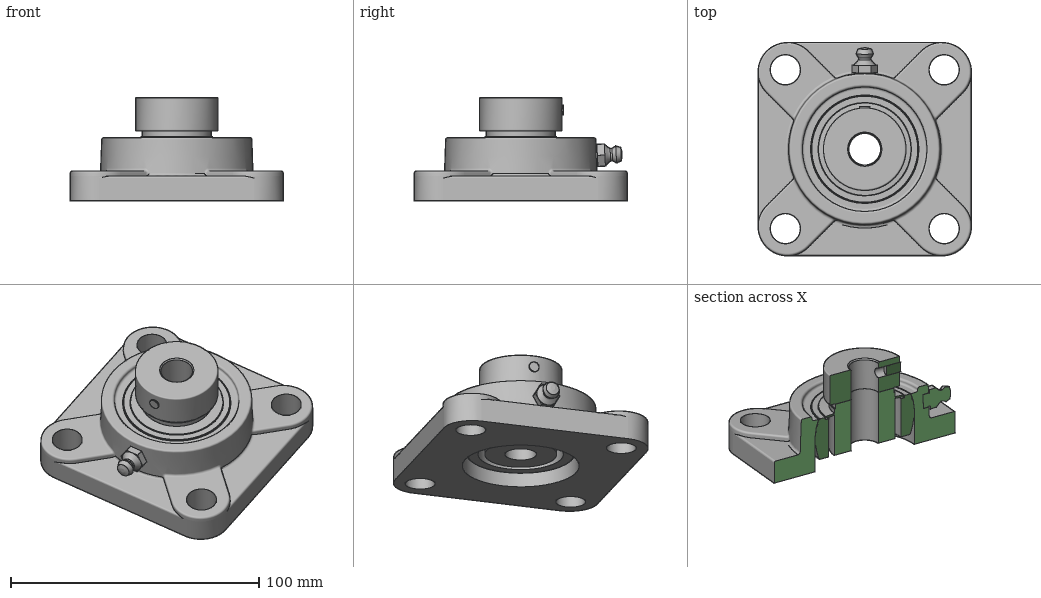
import cadquery as cq
import math

FLANGE_SIDE = 86.0
CORNER_RADIUS = 11.9
PLATE_TOP = 10.0
PAD_TOP = 12.0
EDGE_FILLET = 0.8
PAD_FILLET = 0.9
PAD_DRAFT = 3.0
BOLT_SPACING = 64.0
BOLT_HOLE_DIAMETER = 12.0
BOSS_TOP = 25.45
BOSS_BASE_RADIUS = 30.8
BOSS_TOP_RADIUS = 30.3
BOSS_FOOT_FILLET = 1.0
RECESS_RADIUS = 50.1 / 2
RECESS_DEPTH = 2.1
RECESS_FILLET = 0.95

BEARING_CENTRE = 14.2
SPHERE_RADIUS = 23.6
OUTER_RING_CHAMFER = 0.35
OUTER_RING_BORE_RADIUS = 17.2
FLINGER_RECESS_RADIUS = 37.6 / 2
FLINGER_RECESS_DEPTH = 1.0
FLINGER_RADIUS = 37.2 / 2
FLINGER_THICKNESS = 1.0
FLINGER_PROTRUSION = 0.35
FLINGER_RISE = 0.35
INNER_RING_RADIUS = 29.0 / 2
INNER_RING_SHOULDER_TOP = 26.0
NECK_RADIUS = 27.95 / 2
SHAFT_RADIUS = 6.4

COLLAR_RADIUS = 33.3 / 2
COLLAR_BOTTOM = 28.1
COLLAR_TOP = 41.6
COLLAR_FILLET = 0.5
BORE_CHAMFER = 0.5
SCREW_RADIUS = 2.1
SCREW_HEIGHT = 36.6
SCREW_OUTER_END = 17.2
SCREW_INNER_END = 10.3

NIPPLE_HEIGHT = 18.3
NIPPLE_TILT = 3.0
NIPPLE_SEAT = 30.9
HEX_SIDES = 6
HEX_ACROSS_FLATS = 9.0
HEX_LENGTH = 3.0
STEM_RADIUS = 3.0
STEM_LENGTH = 3.0
NIPPLE_NECK_RADIUS = 2.6
NIPPLE_HEAD_RADIUS = 3.5
NIPPLE_NOSE_RADIUS = 2.75
NIPPLE_TIP_RADIUS = 2.0 / 2
SHOULDER_END = 4.6
NECK_START = 5.25
NECK_END = 6.0
HEAD_HEIGHT = 7.6
NOSE_HEIGHT = 9.55
TIP_HEIGHT = 10.0

RING_FACE = BOSS_TOP - RECESS_DEPTH
RING_BOTTOM = 2 * BEARING_CENTRE - RING_FACE


def revolved(profile):
    """Solid of revolution about Z from (radius, height) points."""
    return cq.Workplane("XZ").polyline(profile).close().revolve(360, (0, 0, 0), (0, 1, 0))


def nipple_placed(body):
    """Move a body modelled along +Z from its seat to the tilted nipple axis on the +Y side."""
    return body.rotate((0, 0, 0), (1, 0, 0), NIPPLE_TILT - 90).translate((0, NIPPLE_SEAT, NIPPLE_HEIGHT))


def screw_cylinder(start, end):
    """Cylinder along Y at the set screw position."""
    return cq.Workplane("XZ", origin=(0, start, SCREW_HEIGHT)).circle(SCREW_RADIUS).extrude(start - end)


def make_pad(angle):
    """Raised pad along a diagonal, round at a flange corner and drafted above the plate."""
    end_reach = math.sqrt(2) * (FLANGE_SIDE / 2 - CORNER_RADIUS)
    length = end_reach + 2 * CORNER_RADIUS
    base = cq.Workplane("XY").center(end_reach / 2, 0).slot2D(length, 2 * CORNER_RADIUS).extrude(PLATE_TOP)
    raised_part = (
        cq.Workplane("XY", origin=(0, 0, PLATE_TOP))
        .center(end_reach / 2, 0)
        .slot2D(length, 2 * CORNER_RADIUS)
        .extrude(PAD_TOP - PLATE_TOP, taper=PAD_DRAFT)
        .faces(">Z")
        .edges()
        .fillet(PAD_FILLET)
    )
    pad = base.union(raised_part)
    return pad.rotate((0, 0, 0), (0, 0, 1), angle)


def make_housing():
    flange = (
        cq.Workplane("XY")
        .rect(FLANGE_SIDE, FLANGE_SIDE)
        .extrude(PLATE_TOP)
        .edges("|Z")
        .fillet(CORNER_RADIUS)
        .faces(">Z")
        .edges()
        .fillet(EDGE_FILLET)
    )
    for angle in (45, 135, 225, 315):
        flange = flange.union(make_pad(angle))

    boss = revolved(
        [(0, PLATE_TOP), (BOSS_BASE_RADIUS, PLATE_TOP), (BOSS_TOP_RADIUS, BOSS_TOP), (0, BOSS_TOP)]
    )
    boss = boss.faces(">Z").edges().fillet(EDGE_FILLET)
    housing = flange.union(boss)

    foot_zone = cq.selectors.BoxSelector(
        (-BOSS_BASE_RADIUS, -BOSS_BASE_RADIUS, PLATE_TOP - BOSS_FOOT_FILLET),
        (BOSS_BASE_RADIUS, BOSS_BASE_RADIUS, PAD_TOP + BOSS_FOOT_FILLET),
        boundingbox=False,
    )
    housing = housing.edges("%CIRCLE").edges(foot_zone).fillet(BOSS_FOOT_FILLET)

    bolt_holes = (
        cq.Workplane("XY")
        .rect(BOLT_SPACING, BOLT_SPACING, forConstruction=True)
        .vertices()
        .circle(BOLT_HOLE_DIAMETER / 2)
        .extrude(PAD_TOP)
    )
    housing = housing.cut(bolt_holes).cut(make_recess()).cut(make_bearing_seat())
    stem_hole = nipple_placed(cq.Workplane("XY").circle(STEM_RADIUS).extrude(-STEM_LENGTH))
    return housing.cut(stem_hole)


def make_recess():
    """Space of the round recess in the boss top, with a rounded rim and a rounded floor corner."""
    return (
        cq.Workplane("XZ")
        .moveTo(0, RING_FACE)
        .lineTo(RECESS_RADIUS - RECESS_FILLET, RING_FACE)
        .radiusArc((RECESS_RADIUS, RING_FACE + RECESS_FILLET), -RECESS_FILLET)
        .lineTo(RECESS_RADIUS, BOSS_TOP - RECESS_FILLET)
        .radiusArc((RECESS_RADIUS + RECESS_FILLET, BOSS_TOP), RECESS_FILLET)
        .lineTo(0, BOSS_TOP)
        .close()
        .revolve(360, (0, 0, 0), (0, 1, 0))
    )


def make_bearing_seat():
    """Space of the spherical seat, continued as a cylinder from the bearing centre to the base."""
    sphere = cq.Workplane("XY", origin=(0, 0, BEARING_CENTRE)).sphere(SPHERE_RADIUS)
    bore = cq.Workplane("XY").circle(SPHERE_RADIUS).extrude(RING_FACE)
    lower_bore = cq.Workplane("XY").circle(SPHERE_RADIUS).extrude(BEARING_CENTRE)
    return sphere.intersect(bore).union(lower_bore)


def make_outer_ring():
    half_width = RING_FACE - BEARING_CENTRE
    chamfer_half_width = half_width - OUTER_RING_CHAMFER
    face_radius = math.sqrt(SPHERE_RADIUS**2 - half_width**2) - OUTER_RING_CHAMFER
    chamfer_radius = math.sqrt(SPHERE_RADIUS**2 - chamfer_half_width**2)
    recess_floor = RING_FACE - FLINGER_RECESS_DEPTH
    return (
        cq.Workplane("XZ")
        .moveTo(OUTER_RING_BORE_RADIUS, RING_BOTTOM)
        .lineTo(face_radius, RING_BOTTOM)
        .lineTo(chamfer_radius, BEARING_CENTRE - chamfer_half_width)
        .threePointArc((SPHERE_RADIUS, BEARING_CENTRE), (chamfer_radius, BEARING_CENTRE + chamfer_half_width))
        .lineTo(face_radius, RING_FACE)
        .lineTo(FLINGER_RECESS_RADIUS, RING_FACE)
        .lineTo(FLINGER_RECESS_RADIUS, recess_floor)
        .lineTo(OUTER_RING_BORE_RADIUS, recess_floor)
        .close()
        .revolve(360, (0, 0, 0), (0, 1, 0))
    )


def make_flinger():
    """Slightly conical ring that closes the gap between the inner and outer rings."""
    rim_top = RING_FACE + FLINGER_PROTRUSION
    hub_top = rim_top + FLINGER_RISE
    return revolved(
        [
            (INNER_RING_RADIUS, hub_top - FLINGER_THICKNESS),
            (FLINGER_RADIUS, rim_top - FLINGER_THICKNESS),
            (FLINGER_RADIUS, rim_top),
            (INNER_RING_RADIUS, hub_top),
        ]
    )


def make_inner_ring():
    return revolved(
        [
            (SHAFT_RADIUS, RING_BOTTOM),
            (INNER_RING_RADIUS, RING_BOTTOM),
            (INNER_RING_RADIUS, INNER_RING_SHOULDER_TOP),
            (NECK_RADIUS, INNER_RING_SHOULDER_TOP),
            (NECK_RADIUS, COLLAR_BOTTOM),
            (SHAFT_RADIUS, COLLAR_BOTTOM),
        ]
    )


def make_collar():
    collar = (
        cq.Workplane("XY", origin=(0, 0, COLLAR_BOTTOM))
        .circle(COLLAR_RADIUS)
        .extrude(COLLAR_TOP - COLLAR_BOTTOM)
        .edges()
        .fillet(COLLAR_FILLET)
        .faces(">Z")
        .workplane()
        .hole(2 * SHAFT_RADIUS)
    )
    bore_rim = collar.faces(">Z").edges(cq.selectors.RadiusNthSelector(0))
    collar = bore_rim.chamfer(BORE_CHAMFER)
    return collar.cut(screw_cylinder(0, SCREW_OUTER_END))


def make_set_screw():
    return screw_cylinder(SCREW_INNER_END, SCREW_OUTER_END)


def make_grease_nipple():
    hexagon = cq.Workplane("XY").polygon(HEX_SIDES, HEX_ACROSS_FLATS, circumscribed=True).extrude(HEX_LENGTH)
    hexagon = hexagon.rotate((0, 0, 0), (0, 0, 1), 180 / HEX_SIDES)
    turned_part = revolved(
        [
            (0, -STEM_LENGTH),
            (STEM_RADIUS, -STEM_LENGTH),
            (STEM_RADIUS, 0),
            (HEX_ACROSS_FLATS / 2, 0),
            (HEX_ACROSS_FLATS / 2, HEX_LENGTH),
            (STEM_RADIUS, SHOULDER_END),
            (NIPPLE_NECK_RADIUS, NECK_START),
            (NIPPLE_NECK_RADIUS, NECK_END),
            (NIPPLE_HEAD_RADIUS, HEAD_HEIGHT),
            (NIPPLE_NOSE_RADIUS, NOSE_HEIGHT),
            (NIPPLE_TIP_RADIUS, TIP_HEIGHT),
            (0, TIP_HEIGHT),
        ]
    )
    return nipple_placed(hexagon.union(turned_part))


housing = make_housing()
outer_ring = make_outer_ring()
flinger = make_flinger()
inner_ring = make_inner_ring()
collar = make_collar()
set_screw = make_set_screw()
grease_nipple = make_grease_nipple()

result = cq.Compound.makeCompound(
    [
        housing.val(),
        outer_ring.val(),
        flinger.val(),
        inner_ring.val(),
        collar.val(),
        set_screw.val(),
        grease_nipple.val(),
    ]
)